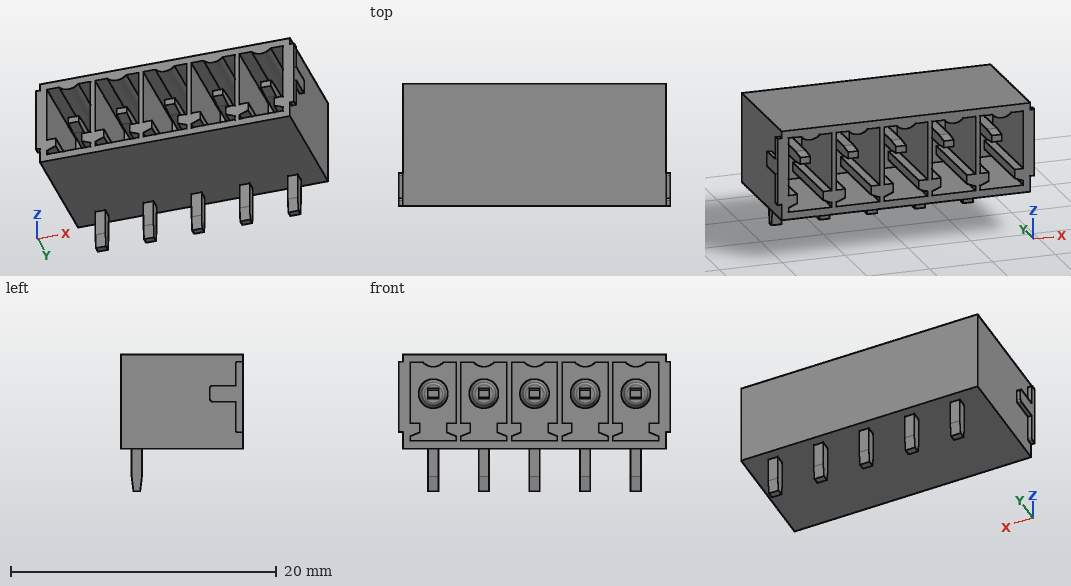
import cadquery as cq


pole_count = 5
pitch = 3.81
pole_xs = [(i - (pole_count - 1) / 2) * pitch for i in range(pole_count)]

housing_width = 19.8
housing_depth = 9.2
housing_height = 7.1

cavity_width = 3.45
cavity_depth = 7.0
cavity_bottom_z = 0.6
cavity_top_z = 6.5
rib_width = 0.7
rib_top_z = 1.92
rib_edge_z = 1.23
rib_root_z = 0.94
key_width = 1.52
key_drop = 0.33

boss_base_radius = 1.1
boss_top_radius = 0.83
boss_length = 0.8
boss_rounding = 0.2

overall_width = 20.44
flange_thickness = (overall_width - housing_width) / 2
flange_bottom_z = 1.25
flange_top_z = 6.55
flange_depth = 0.57
tongue_depth = 2.5
tongue_bottom_z = 3.55
tongue_top_z = 4.76
flange_corner_radius = 0.15
tongue_corner_radius = 0.2

pin_size = 0.8
pin_axis_z = 4.15
pin_leg_y = 8.0
pin_front_y = 1.15
pin_drop = 3.2
tip_size = 0.52
tip_length = 1.15


def make_cavity(x):
    """Keyed cavity, open at the mating face, with a latch rib on each side wall."""
    half = cavity_width / 2
    neck = half - rib_width
    return (
        cq.Workplane("XZ", origin=(x, 0, 0))
        .moveTo(-half, cavity_bottom_z)
        .lineTo(half, cavity_bottom_z)
        .lineTo(half, rib_root_z)
        .lineTo(neck, rib_edge_z)
        .lineTo(neck, rib_top_z)
        .lineTo(half, rib_top_z)
        .lineTo(half, cavity_top_z)
        .lineTo(key_width / 2, cavity_top_z)
        .threePointArc((0, cavity_top_z - key_drop), (-key_width / 2, cavity_top_z))
        .lineTo(-half, cavity_top_z)
        .lineTo(-half, rib_top_z)
        .lineTo(-neck, rib_top_z)
        .lineTo(-neck, rib_edge_z)
        .lineTo(-half, rib_root_z)
        .close()
        .extrude(-cavity_depth)
    )


def make_boss(x):
    """Tapered boss with a rounded front edge, standing on the cavity's back wall."""
    return (
        cq.Workplane("XZ", origin=(x, cavity_depth, pin_axis_z))
        .circle(boss_base_radius)
        .workplane(offset=boss_length)
        .circle(boss_top_radius)
        .loft()
        .faces("<Y")
        .edges()
        .fillet(boss_rounding)
    )


def make_end_plate(start_x, depth, bottom_z, top_z, corner_radius):
    """Plate starting at the mating face, with both of its rear corners rounded."""
    return (
        cq.Workplane("XY", origin=(start_x, 0, bottom_z))
        .box(flange_thickness, depth, top_z - bottom_z, centered=False)
        .edges("|X and >Y")
        .fillet(corner_radius)
    )


def make_flange(start_x):
    """T-shaped flange: an upright along the mating face and a tongue running back from it."""
    upright = make_end_plate(start_x, flange_depth, flange_bottom_z, flange_top_z, flange_corner_radius)
    tongue = make_end_plate(start_x, tongue_depth, tongue_bottom_z, tongue_top_z, tongue_corner_radius)
    return upright.union(tongue)


def make_pin(x):
    """L-shaped square pin: contact toward the mating face, leg down, both ends tapered."""
    half = pin_size / 2
    tip_half = tip_size / 2
    return (
        cq.Workplane("YZ", origin=(x - half, 0, 0))
        .moveTo(pin_front_y, pin_axis_z + tip_half)
        .lineTo(pin_front_y + tip_length, pin_axis_z + half)
        .lineTo(pin_leg_y + half, pin_axis_z + half)
        .lineTo(pin_leg_y + half, tip_length - pin_drop)
        .lineTo(pin_leg_y + tip_half, -pin_drop)
        .lineTo(pin_leg_y - tip_half, -pin_drop)
        .lineTo(pin_leg_y - half, tip_length - pin_drop)
        .lineTo(pin_leg_y - half, pin_axis_z - half)
        .lineTo(pin_front_y + tip_length, pin_axis_z - half)
        .lineTo(pin_front_y, pin_axis_z - tip_half)
        .close()
        .extrude(pin_size)
    )


pins = [make_pin(x) for x in pole_xs]

housing = cq.Workplane("XY").box(housing_width, housing_depth, housing_height, centered=(True, False, False))
for start_x in (-overall_width / 2, housing_width / 2):
    housing = housing.union(make_flange(start_x))
for x, pin in zip(pole_xs, pins):
    housing = housing.cut(make_cavity(x)).union(make_boss(x)).cut(pin)

result = cq.Compound.makeCompound([housing.val(), *[pin.val() for pin in pins]])